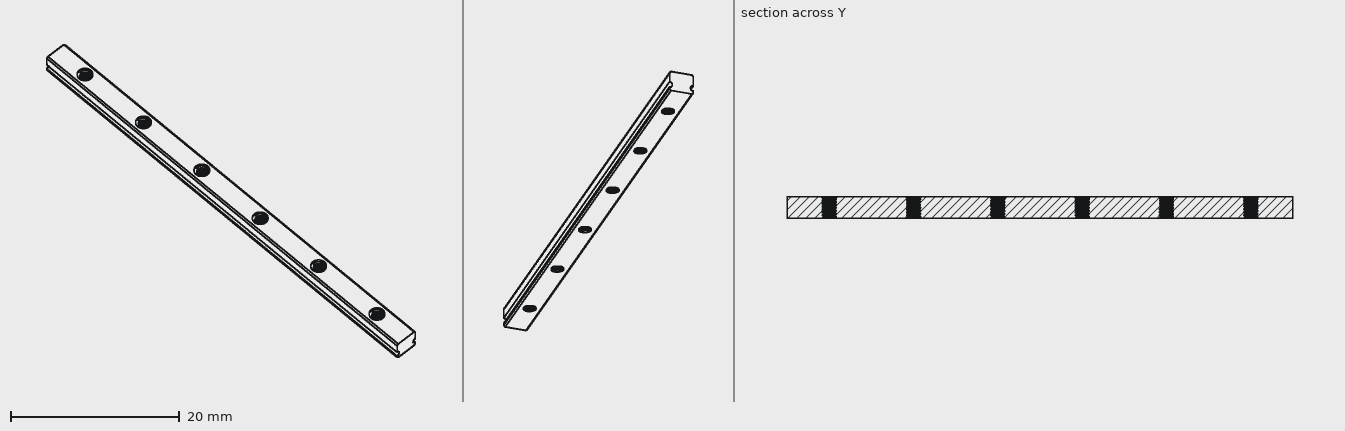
import cadquery as cq
import math

LENGTH = 60.0
WIDTH = 3.0
HEIGHT = 2.6
EDGE_CHAMFER = 0.2

GROOVE_RADIUS = 0.36
GROOVE_CENTER_HEIGHT = 0.8

HOLE_PITCH = 10.0
HOLE_COUNT = 6
THREAD_MAJOR_DIAMETER = 1.6
THREAD_PITCH = 0.35
THREAD_FLANK_ANGLE = 30.0
THREAD_START_ANGLE = 150.0
COUNTERSINK_DIAMETER = 1.86

THREAD_DEPTH = 5 / 8 * THREAD_PITCH / (2 * math.tan(math.radians(THREAD_FLANK_ANGLE)))
THREAD_ROOT_FLAT = THREAD_PITCH / 8
THREAD_MINOR_DIAMETER = THREAD_MAJOR_DIAMETER - 2 * THREAD_DEPTH

THREAD_OVERLAP = 0.05
THREAD_END_BELOW_TOP = 0.1


def make_bar():
    """Rectangular bar centred on X and Y, standing on Z = 0, with its long edges chamfered."""
    bar = cq.Workplane("XY").box(LENGTH, WIDTH, HEIGHT, centered=(True, True, False))
    return bar.edges("|X").chamfer(EDGE_CHAMFER)


def make_grooves():
    """Cylinders along both sides whose inner halves form the running grooves."""
    side_centers = [(side * WIDTH / 2, GROOVE_CENTER_HEIGHT) for side in (-1, 1)]
    return (
        cq.Workplane("YZ")
        .pushPoints(side_centers)
        .circle(GROOVE_RADIUS)
        .extrude(LENGTH / 2, both=True)
    )


def make_bore():
    """Through bore at the thread's minor diameter with a 45 degree countersink at the top."""
    bore_radius = THREAD_MINOR_DIAMETER / 2
    sink_radius = COUNTERSINK_DIAMETER / 2
    sink_depth = sink_radius - bore_radius
    return (
        cq.Workplane("XZ")
        .moveTo(0, 0)
        .lineTo(bore_radius, 0)
        .lineTo(bore_radius, HEIGHT - sink_depth)
        .lineTo(sink_radius, HEIGHT)
        .lineTo(0, HEIGHT)
        .close()
        .revolve(360, (0, 0), (0, 1))
    )


def make_thread_groove():
    """Helical groove from one pitch below the rail up into the countersink."""
    inner_radius = THREAD_MINOR_DIAMETER / 2 - THREAD_OVERLAP
    root_radius = THREAD_MAJOR_DIAMETER / 2
    half_root = THREAD_ROOT_FLAT / 2
    flank_rise = (root_radius - inner_radius) * math.tan(math.radians(THREAD_FLANK_ANGLE))
    half_mouth = half_root + flank_rise
    helix_height = THREAD_PITCH + HEIGHT - THREAD_END_BELOW_TOP
    helix = cq.Wire.makeHelix(THREAD_PITCH, helix_height, inner_radius)
    groove = (
        cq.Workplane("XZ")
        .moveTo(inner_radius, -half_mouth)
        .lineTo(root_radius, -half_root)
        .lineTo(root_radius, half_root)
        .lineTo(inner_radius, half_mouth)
        .close()
        .sweep(cq.Workplane(obj=helix), isFrenet=True)
    )
    return groove.rotate((0, 0, 0), (0, 0, 1), THREAD_START_ANGLE).translate((0, 0, -THREAD_PITCH))


def cut_mounting_holes(rail):
    """Cut the evenly spaced threaded holes along the rail."""
    bore = make_bore()
    thread_groove = make_thread_groove()
    first_hole_x = -HOLE_PITCH * (HOLE_COUNT - 1) / 2
    for i in range(HOLE_COUNT):
        hole_offset = (first_hole_x + i * HOLE_PITCH, 0, 0)
        rail = rail.cut(bore.translate(hole_offset))
        rail = rail.cut(thread_groove.translate(hole_offset))
    return rail


result = cut_mounting_holes(make_bar().cut(make_grooves()))